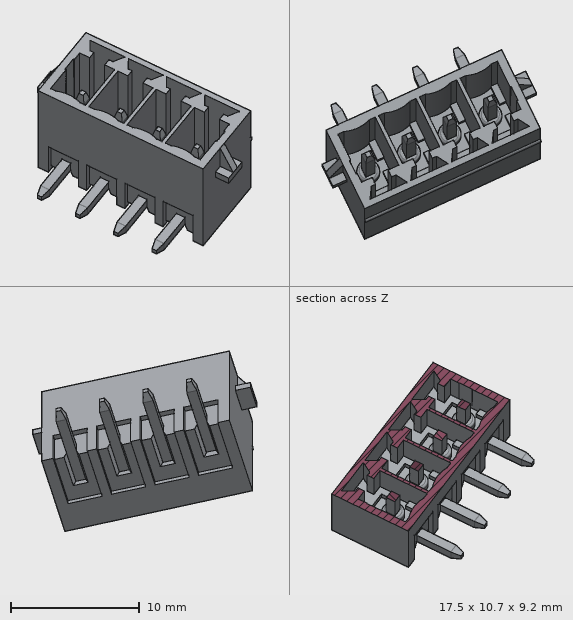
import cadquery as cq

contact_count = 4
pitch = 3.5
contact_xs = [(i - (contact_count - 1) / 2) * pitch for i in range(contact_count)]

body_width = 15.1
body_height = 9.2
front_y = -2.8
body_depth = 7.0
back_y = front_y + body_depth
back_ridge_radius = 0.2
back_ridge_z = 5.78

cavity_half = 1.6
cavity_front_y = -2.1
cavity_back_y = 2.17
neck_half = 0.69
neck_back_y = 2.79
dovetail_inner_half = 1.06
dovetail_back_y = 3.69
floor_z = 2.6
bulge_half = 1.1
bulge_height = 0.21

sink_depth = 0.4
sink_floor_z = floor_z - sink_depth
sink_half = 1.03
sink_back_y = 1.69
cross_slot_width = 1.0
collar_diameter = 1.8
collar_rounding = 0.2
collar_height = 0.6
collar_top_z = sink_floor_z + collar_height

relief_depth = 0.1
relief_y_min = 0.2
relief_y_max = 1.4

bar = 0.8
tip_end = 0.4
tip_length = 0.8
tail_bottom_z = 0.9
pin_top_z = 7.6
tail_reach = 3.5
tail_end_y = front_y - tail_reach
last_pin_lift = 0.1

window_width = 2.74
window_height = 3.04
window_depth = 0.4
underside_recess_height = 0.4
underside_recess_back_y = sink_back_y
tail_slot_top_z = tail_bottom_z + bar + last_pin_lift
funnel_half = 0.6

wing_span = 17.5
wing_reach = (wing_span - body_width) / 2
foot_bottom_z = 6.4
foot_height = 0.63
foot_width = 1.95
rib_thickness = 0.6


def block(x_min, x_max, y_min, y_max, z_min, z_max):
    """Box given by its limits along X, Y and Z."""
    size = (x_max - x_min, y_max - y_min, z_max - z_min)
    return cq.Workplane("XY").box(*size, centered=False).translate((x_min, y_min, z_min))


def cavity(x, bottom_z):
    """Plug opening with a dovetail behind it and a bulged front wall."""
    half_outline = [
        (cavity_half, cavity_front_y),
        (cavity_half, cavity_back_y),
        (neck_half, cavity_back_y),
        (neck_half, neck_back_y),
        (dovetail_inner_half, neck_back_y),
        (cavity_half, dovetail_back_y),
    ]
    mirrored = [(-px, py) for px, py in reversed(half_outline)]
    return (
        cq.Workplane("XY", origin=(x, 0, bottom_z))
        .moveTo(bulge_half, cavity_front_y)
        .polyline(half_outline + mirrored, includeCurrent=True)
        .lineTo(-bulge_half, cavity_front_y)
        .threePointArc((0, cavity_front_y + bulge_height), (bulge_half, cavity_front_y))
        .close()
        .extrude(body_height - bottom_z)
    )


def floor_sink(x):
    """Cross-shaped sink in the cavity floor, within the cavity outline."""
    sink = block(x - sink_half, x + sink_half, cavity_front_y, sink_back_y, sink_floor_z, floor_z)
    half_slot = cross_slot_width / 2
    cross_slot = block(x - cavity_half, x + cavity_half, -half_slot, half_slot, sink_floor_z, floor_z)
    return sink.union(cross_slot).intersect(cavity(x, sink_floor_z))


def collar(x):
    """Rounded collar standing in the sink round the contact."""
    return (
        cq.Workplane("XY", origin=(x, 0, sink_floor_z))
        .circle(collar_diameter / 2)
        .extrude(collar_height)
        .faces(">Z")
        .fillet(collar_rounding)
    )


def tail_opening(x):
    """Front window, underside recess, and the slot and funnel the contact is pushed in through."""
    half = window_width / 2
    window = block(x - half, x + half, front_y, front_y + window_depth, 0, window_height)
    recess = block(x - half, x + half, front_y, underside_recess_back_y, 0, underside_recess_height)
    slot = (
        cq.Workplane("XZ", origin=(x, front_y, 0))
        .moveTo(-funnel_half, underside_recess_height)
        .lineTo(funnel_half, underside_recess_height)
        .lineTo(bar / 2, tail_bottom_z)
        .lineTo(bar / 2, tail_slot_top_z)
        .lineTo(-bar / 2, tail_slot_top_z)
        .lineTo(-bar / 2, tail_bottom_z)
        .close()
        .extrude(front_y - bar / 2)
    )
    return window.union(recess).union(slot)


def pin_hole(x):
    """Square hole for the upright leg of a contact."""
    half = bar / 2
    return block(x - half, x + half, -half, half, tail_bottom_z, collar_top_z)


def wing(side):
    """Foot and rib on the end wall at side * X."""
    wall_x = side * body_width / 2
    outer_x = wall_x + side * wing_reach
    foot_top_z = foot_bottom_z + foot_height
    x_min, x_max = sorted((wall_x, outer_x))
    foot = block(x_min, x_max, -foot_width / 2, foot_width / 2, foot_bottom_z, foot_top_z)
    rib = (
        cq.Workplane("XZ")
        .polyline([(wall_x, foot_top_z), (outer_x, foot_top_z), (wall_x, body_height)])
        .close()
        .extrude(rib_thickness / 2, both=True)
    )
    return foot.union(rib)


def end_wall_relief(side):
    """Wedge off the inner face of an end wall, deepest at the rim and fading out at the floor."""
    wall_x = side * (contact_xs[-1] + cavity_half)
    return (
        cq.Workplane("XZ", origin=(0, relief_y_max, 0))
        .polyline([(wall_x, floor_z), (wall_x + side * relief_depth, body_height), (wall_x, body_height)])
        .close()
        .extrude(relief_y_max - relief_y_min)
    )


def build_housing():
    """Housing with wings, back ridge, cavities and tail openings."""
    body = block(-body_width / 2, body_width / 2, front_y, back_y, 0, body_height)
    ridge = (
        cq.Workplane("YZ", origin=(-body_width / 2, back_y, back_ridge_z))
        .circle(back_ridge_radius)
        .extrude(body_width)
    )
    body = body.union(ridge).union(wing(-1)).union(wing(1))
    for x in contact_xs:
        body = body.cut(cavity(x, floor_z)).cut(floor_sink(x)).union(collar(x))
        body = body.cut(tail_opening(x)).cut(pin_hole(x))
    return body.cut(end_wall_relief(-1)).cut(end_wall_relief(1))


def tapered_tip(workplane):
    """Square tip, narrowing from the bar section along the workplane normal."""
    return (
        workplane.rect(bar, bar)
        .workplane(offset=tip_length)
        .rect(tip_end, tip_end)
        .loft(combine=True)
    )


def build_pin(x, lift):
    """L-shaped contact at x, raised by lift."""
    half = bar / 2
    tip_base_z = pin_top_z - tip_length
    tip_base_y = tail_end_y + tip_length
    tail_z = tail_bottom_z + half
    post = block(-half, half, -half, half, tail_bottom_z, tip_base_z)
    tail = block(-half, half, tip_base_y, half, tail_bottom_z, tail_bottom_z + bar)
    top_tip = tapered_tip(cq.Workplane("XY", origin=(0, 0, tip_base_z)))
    tail_tip = tapered_tip(cq.Workplane("XZ", origin=(0, tip_base_y, tail_z)))
    pin = post.union(tail).union(top_tip).union(tail_tip)
    return pin.translate((x, 0, lift))


housing = build_housing()
pins = []
for x in contact_xs:
    lift = last_pin_lift if x == contact_xs[-1] else 0
    pins.append(build_pin(x, lift))

result = cq.Compound.makeCompound([housing.solids().val(), *[pin.solids().val() for pin in pins]])